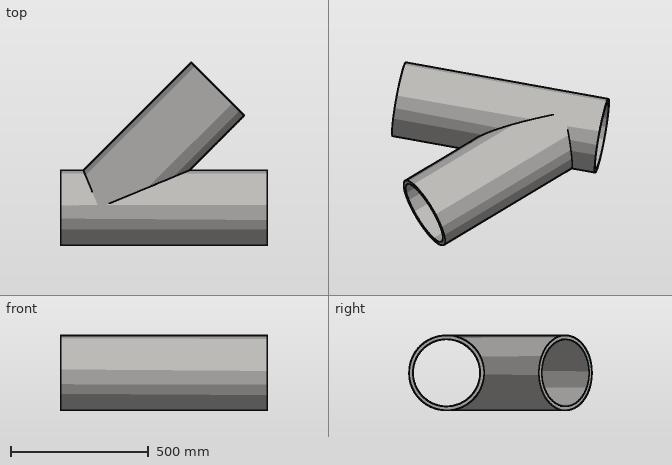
import cadquery as cq
import math

run_length = 749.0
outer_diameter = 273.0
bore_diameter = 243.0
branch_angle = 45.0
junction_x = 138.5
branch_length = 610.0

angle = math.radians(branch_angle)
branch_direction = cq.Vector(math.cos(angle), math.sin(angle), 0)
run_start = cq.Vector(0, 0, 0)
run_direction = cq.Vector(1, 0, 0)
junction = cq.Vector(junction_x, 0, 0)


def tee_solid(diameter):
    """Join the run and branch cylinders of one diameter, mitred at the junction."""
    radius = diameter / 2
    run = cq.Solid.makeCylinder(radius, run_length, run_start, run_direction)
    branch = cq.Solid.makeCylinder(radius, branch_length, junction, branch_direction)
    return cq.Workplane(obj=run).union(cq.Workplane(obj=branch))


result = tee_solid(outer_diameter).cut(tee_solid(bore_diameter))